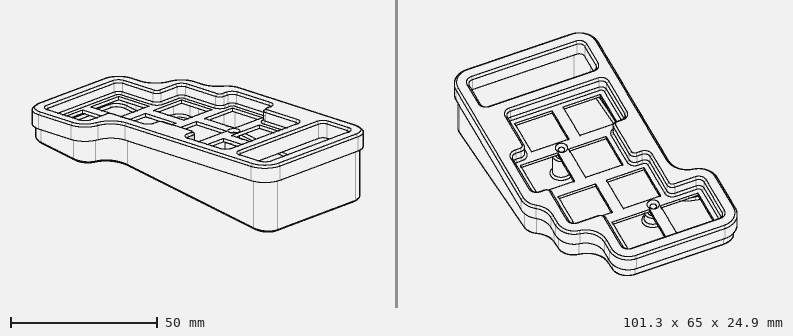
import cadquery as cq
import math

KEY_PITCH = 18.0
KEY_OPENING = 14.0
BIG_STAGGER = 12.0
SMALL_STAGGER = 6.0
COLUMN_RISES = [0, BIG_STAGGER, BIG_STAGGER + SMALL_STAGGER, BIG_STAGGER]
KEYS_PER_COLUMN = 2
KEY_CLEARANCE = 0.5

RIM_WALL = 5.0
COVER_HEIGHT = 6.0
PLATE_THICKNESS = 1.2
BAY_WIDTH = 13.3
POCKET_RADIUS = 2.0
OUTLINE_RADIUS = POCKET_RADIUS + RIM_WALL
EDGE_CHAMFER = 0.8
SHOULDER_WIDENING = 2.7

SHELL_INSET = 1.2
SHELL_WALL = 1.5
FLOOR_THICKNESS = 1.5
FLOOR_SLOPE = 8.0
OVERALL_HEIGHT = 24.9
CAVITY_CHAMFER = 0.8

POST_DIAMETER = 6.2
FOOT_CHAMFER = 0.8
POST_DROP = 2.4
PILOT_DIAMETER = 1.6
PILOT_DEPTH = 4.0
BOSS_DIAMETER = 3.8
CLEARANCE_DIAMETER = 2.2
COUNTERSINK_DIAMETER = 4.1
COUNTERSINK_ANGLE = 90.0
POST_SHIFT = 0.5
POST_COLUMNS = [0, 2]

CELL_START = RIM_WALL + KEY_CLEARANCE
COLUMN_HEIGHT = KEYS_PER_COLUMN * KEY_PITCH
POCKET_END = CELL_START + len(COLUMN_RISES) * KEY_PITCH + KEY_CLEARANCE
BAY_START = POCKET_END + RIM_WALL
LENGTH = BAY_START + BAY_WIDTH + RIM_WALL
DEPTH = max(COLUMN_RISES) + COLUMN_HEIGHT + 2 * CELL_START


def column_left(column):
    return CELL_START + column * KEY_PITCH


def column_bottom(column):
    return CELL_START + COLUMN_RISES[column]


def column_top(column):
    return column_bottom(column) + COLUMN_HEIGHT


def rounded_outline(points, growth, radius, z):
    """Closed outline standing off from the points by the growth, all its corners rounded to the radius."""
    sharp = cq.Workplane("XY").workplane(offset=z).polyline(points).close()
    core = sharp.offset2D(growth - radius, "intersection")
    return core.offset2D(2 * radius, "arc").offset2D(-radius, "arc")


def outer_outline(inset=0):
    """Outline of the cover at the joint plane, or that outline drawn in by the inset."""
    right = LENGTH - CELL_START
    shoulder = column_left(2) - SHOULDER_WIDENING
    points = [
        (column_left(0), column_bottom(0)),
        (column_left(1), column_bottom(0)),
        (column_left(1), column_bottom(1)),
        (right, column_bottom(1)),
        (right, column_top(2)),
        (shoulder, column_top(2)),
        (shoulder, column_top(1)),
        (column_left(1), column_top(1)),
        (column_left(1), column_top(0)),
        (column_left(0), column_top(0)),
    ]
    full = rounded_outline(points, CELL_START, OUTLINE_RADIUS, 0)
    return full.offset2D(-inset, "arc") if inset else full


def pocket_outline():
    """Stepped outline of the pocket around all the key cells, on top of the plate."""
    lower = []
    upper = []
    for column in range(len(COLUMN_RISES)):
        left = column_left(column)
        right = column_left(column + 1)
        lower += [(left, column_bottom(column)), (right, column_bottom(column))]
        upper += [(left, column_top(column)), (right, column_top(column))]
    return rounded_outline(lower + upper[::-1], KEY_CLEARANCE, POCKET_RADIUS, PLATE_THICKNESS)


def post_centers():
    return [
        (column_left(column + 1) - POST_SHIFT, column_bottom(column) + KEY_PITCH)
        for column in POST_COLUMNS
    ]


def key_centers():
    return [
        (column_left(column) + KEY_PITCH / 2, column_bottom(column) + (row + 0.5) * KEY_PITCH)
        for column in range(len(COLUMN_RISES))
        for row in range(KEYS_PER_COLUMN)
    ]


def pocket_cutter():
    """Space above the key plate, with a bevel where its wall meets the plate."""
    return pocket_outline().extrude(COVER_HEIGHT).faces("<Z").edges().chamfer(EDGE_CHAMFER)


def bay_cutter():
    """Rounded opening beside the keys, right through the cover."""
    bay_depth = DEPTH - BIG_STAGGER - 2 * RIM_WALL
    block = cq.Workplane("XY").box(BAY_WIDTH, bay_depth, COVER_HEIGHT, centered=False)
    rounded = block.edges("|Z").fillet(POCKET_RADIUS)
    return rounded.translate((BAY_START, BIG_STAGGER + RIM_WALL, 0))


def build_cover():
    cover = outer_outline().extrude(COVER_HEIGHT).cut(pocket_cutter()).cut(bay_cutter())
    cover = cover.faces(">Z").edges().chamfer(EDGE_CHAMFER)

    key_plane = cq.Workplane("XY").pushPoints(key_centers())
    cover = cover.cut(key_plane.rect(KEY_OPENING, KEY_OPENING).extrude(PLATE_THICKNESS))

    post_plane = cq.Workplane("XY").pushPoints(post_centers())
    cover = cover.union(post_plane.circle(BOSS_DIAMETER / 2).extrude(-POST_DROP))
    plate_top = cq.Workplane("XY", origin=(0, 0, PLATE_THICKNESS))
    screw_places = cover.copyWorkplane(plate_top).pushPoints(post_centers())
    return screw_places.cskHole(CLEARANCE_DIAMETER, COUNTERSINK_DIAMETER, COUNTERSINK_ANGLE)


def sloped_block(inset, lift, chamfer):
    """Outline drawn in by the inset, from the joint down to the sloped underside raised by the lift."""
    fall = math.tan(math.radians(FLOOR_SLOPE))
    lowest_x = LENGTH - SHELL_INSET - EDGE_CHAMFER * math.cos(math.radians(FLOOR_SLOPE))
    lowest_z = COVER_HEIGHT - OVERALL_HEIGHT + lift
    left_z = lowest_z + lowest_x * fall
    right_z = left_z - LENGTH * fall
    stock_z = -2 * OVERALL_HEIGHT
    profile = [(0, left_z), (LENGTH, right_z), (LENGTH, stock_z), (0, stock_z)]
    below_slope = cq.Workplane("XZ").polyline(profile).close().extrude(-DEPTH)
    block = outer_outline(inset).extrude(stock_z).cut(below_slope)
    return block.faces("<Z").edges().chamfer(chamfer)


def build_cavity():
    """Hollow of the shell, which leaves the screw posts and their flared feet standing."""
    floor_lift = FLOOR_THICKNESS / math.cos(math.radians(FLOOR_SLOPE))
    cavity = sloped_block(SHELL_INSET + SHELL_WALL, floor_lift, CAVITY_CHAMFER)
    post_radius = POST_DIAMETER / 2
    foot_radius = post_radius + FOOT_CHAMFER
    post_tops = cq.Workplane("XY").workplane(offset=-POST_DROP).pushPoints(post_centers())
    cavity = cavity.cut(post_tops.circle(post_radius).extrude(-OVERALL_HEIGHT))
    for x, y in post_centers():
        low_corner = (x - foot_radius, y - foot_radius, -OVERALL_HEIGHT)
        high_corner = (x + foot_radius, y + foot_radius, -POST_DROP - FOOT_CHAMFER)
        foot_edge = cq.selectors.BoxSelector(low_corner, high_corner, boundingbox=True)
        cavity = cavity.edges(foot_edge).chamfer(FOOT_CHAMFER)
    return cavity


def build_shell():
    shell = sloped_block(SHELL_INSET, 0, EDGE_CHAMFER).cut(build_cavity())
    post_tops = cq.Workplane("XY").workplane(offset=-POST_DROP).pushPoints(post_centers())
    return shell.cut(post_tops.circle(PILOT_DIAMETER / 2).extrude(-PILOT_DEPTH))


cover = build_cover()
shell = build_shell()
result = cq.Compound.makeCompound([cover.val(), shell.val()])